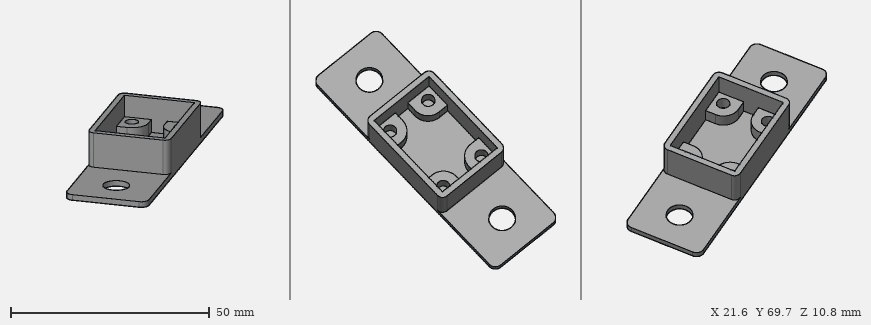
import cadquery as cq

length = 69.7
width = 21.6
plate_thickness = 1.5
plate_corner_radius = 2.0
mount_hole_diameter = 6.75
mount_hole_spacing = 50.8

height = 10.8
box_length = 29.3
wall = 1.6
box_corner_radius = 1.7
floor_thickness = 1.5
cavity_width = width - 2 * wall
cavity_length = box_length - 2 * wall
cavity_depth = height - floor_thickness

boss_size = 7.1
boss_radius = 4.3
boss_height = 3.5
boss_hole_diameter = 3.35
boss_hole_spacing_x = 12.8
boss_hole_spacing_y = 20.35


def make_plate():
    """Flat plate with rounded corners and a mounting hole at each end."""
    plate = (
        cq.Workplane("XY")
        .rect(width, length)
        .extrude(plate_thickness)
        .edges("|Z")
        .fillet(plate_corner_radius)
    )
    holes = (
        cq.Workplane("XY")
        .rarray(0.7, mount_hole_spacing, 1, 2)
        .circle(mount_hole_diameter / 2)
        .extrude(plate_thickness)
    )
    return plate.cut(holes)


def make_box():
    """Solid block with rounded vertical corners, before it is hollowed."""
    return (
        cq.Workplane("XY")
        .rect(width, box_length)
        .extrude(height)
        .edges("|Z")
        .fillet(box_corner_radius)
    )


def make_cavity():
    """Sharp-cornered pocket, open at the top of the box."""
    return (
        cq.Workplane("XY")
        .workplane(offset=floor_thickness)
        .rect(cavity_width, cavity_length)
        .extrude(cavity_depth)
    )


def make_boss(side_x, side_y):
    """Boss in one cavity corner, rounded on its inward corner, with a blind hole down to the floor."""
    boss = (
        cq.Workplane("XY")
        .box(boss_size, boss_size, boss_height, centered=(True, True, False))
        .edges("|Z and " + (">X" if side_x < 0 else "<X"))
        .edges(">Y" if side_y < 0 else "<Y")
        .fillet(boss_radius)
        .translate((
            side_x * (cavity_width - boss_size) / 2,
            side_y * (cavity_length - boss_size) / 2,
            floor_thickness,
        ))
    )
    hole = (
        cq.Workplane("XY")
        .workplane(offset=floor_thickness)
        .center(side_x * boss_hole_spacing_x / 2, side_y * boss_hole_spacing_y / 2)
        .circle(boss_hole_diameter / 2)
        .extrude(boss_height)
    )
    return boss.cut(hole)


result = make_plate().union(make_box()).cut(make_cavity())
for side_x in (-1, 1):
    for side_y in (-1, 1):
        result = result.union(make_boss(side_x, side_y))